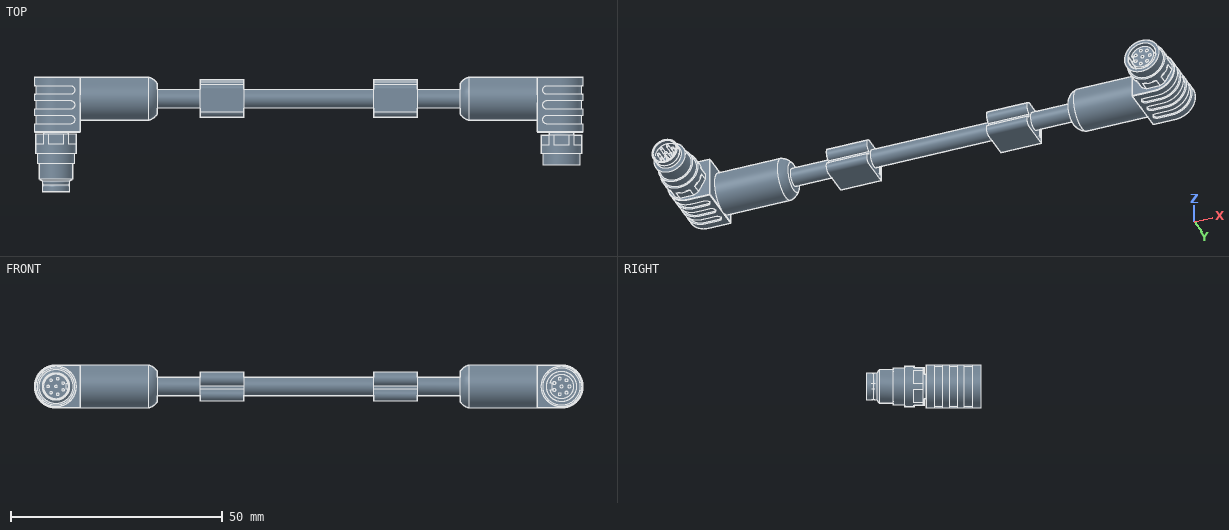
import cadquery as cq
import math

OVERALL_LENGTH = 129.9
OVERALL_DEPTH = 27.1
END = OVERALL_LENGTH / 2
BODY_DIA = 10.3
BODY_R = BODY_DIA / 2
PLUG_X = END - BODY_R

CABLE_DIA = 4.4
HOUSING_INNER_X = 54.0
BARREL_END_X = 35.9
BARREL_SHOULDER_X = 37.9
BARREL_NOSE_DIA = 7.3
NOSE_CROWN_X = 36.8
NOSE_CROWN_DIA = 9.2

HOUSING_FRONT_Y = -7.9
HOUSING_CHAMFER = 0.1
GRIP_WIDTH = 2.0
GRIP_DEPTH = 0.4
GRIP_PITCH = 3.5
GRIP_COUNT = 3
FIRST_GRIP_Y = 2.1
GRIP_END_X = 55.3

NECK_DIA = 5.8
SLEEVE_DIA = 9.6
COLLAR_DIA = 8.8
FLAT_COUNT = 6
FLAT_WIDTH = 3.5
FLAT_LENGTH = 2.3
SLEEVE_END_Y = -13.0

MALE_SLEEVE_Y = -8.3
MALE_COLLAR_END_Y = -15.3
MALE_BODY_DIA = 8.0
MALE_BODY_END_Y = -19.0
MALE_TIP_DIA = 6.5
MALE_TIP_START_Y = -19.5
MALE_END_Y = BODY_R - OVERALL_DEPTH
TIP_GROOVE_DIA = 6.2
TIP_GROOVE_Y = -20.4
TIP_GROOVE_WIDTH = 1.0
MALE_BORE_DIA = 5.8
MALE_FLOOR_Y = -16.9
PIN_DIA = 0.6
PIN_END_Y = -21.3

FEMALE_SLEEVE_Y = -8.6
FEMALE_END_Y = -15.7
FEMALE_BORE_DIA = 7.1
FEMALE_FLOOR_Y = -11.0
INSERT_DIA = 5.7
INSERT_END_Y = -15.3
SOCKET_DIA = 0.7
SOCKET_DEPTH = 3.2

CONTACT_CIRCLE_DIA = 3.8
OUTER_CONTACTS = 7

KEY_WIDTH = 1.3
KEYWAY_WIDTH = 1.5
KEY_INNER_R = 2.3
KEYWAY_INNER_R = 2.2

CLIP_CENTRE_X = 20.5
CLIP_LENGTH = 10.4
CLIP_HEIGHT = 6.9
CLIP_TOP = CLIP_HEIGHT / 2
CLIP_FRONT_Y = -4.4
CLIP_BACK_Y = 4.5
UPPER_LOBE_DIA = 3.4
LOWER_LOBE_DIA = 2.9
CORE_FRONT_Y = -3.1
CORE_BACK_Y = 3.4
CORE_CORNER_R = 1.0
LATCH_INNER_Y = 4.0
LATCH_TOP_Z = 2.2
LATCH_SLOT_FLOOR_Z = -2.1


def cylinder_y(x, z, diameter, start_y, end_y):
    """Cylinder along -Y from start_y to end_y."""
    plane = cq.Workplane("XZ", origin=(x, start_y, z))
    return plane.circle(diameter / 2).extrude(start_y - end_y)


def turned_y(x, outline):
    """Solid turned about the plug axis; outline holds (radius, y) points."""
    plane = cq.Workplane("XY", origin=(x, 0, 0))
    return plane.polyline(outline).close().revolve(360, (0, 0, 0), (0, 1, 0))


def contact_places(x, side):
    """Contact centres (x, z); one outer contact points to the outer end."""
    places = [(x, 0)]
    for i in range(OUTER_CONTACTS):
        angle = 2 * math.pi * i / OUTER_CONTACTS
        radius = CONTACT_CIRCLE_DIA / 2
        places.append((x + side * radius * math.cos(angle), radius * math.sin(angle)))
    return places


def housing_block(inner_x, radius, side):
    """Block: square towards the cable, round at the outer end."""
    axis = side * PLUG_X
    length = BODY_R - HOUSING_FRONT_Y
    return (
        cq.Workplane("XZ", origin=(0, BODY_R, 0))
        .moveTo(side * inner_x, -radius)
        .lineTo(axis, -radius)
        .threePointArc((axis + side * radius, 0), (axis, radius))
        .lineTo(side * inner_x, radius)
        .close()
        .extrude(length)
    )


def grip_grooves(side):
    """Shallow round-ended grooves wrapped around the outer end of a housing."""
    core = housing_block(0, BODY_R - GRIP_DEPTH, side)
    grooves = cq.Workplane("XY")
    for i in range(GRIP_COUNT):
        y = FIRST_GRIP_Y - i * GRIP_PITCH
        round_x = GRIP_END_X + GRIP_WIDTH / 2
        outer_x = END + GRIP_WIDTH
        band = cq.Workplane("XY").box(outer_x - round_x, GRIP_WIDTH, BODY_DIA)
        band = band.translate((side * (outer_x + round_x) / 2, y, 0))
        tip = cq.Workplane("XY").circle(GRIP_WIDTH / 2).extrude(BODY_R, both=True)
        grooves = grooves.add(band.union(tip.translate((side * round_x, y, 0))).cut(core))
    return grooves.combine()


def housing(side):
    """Elbow housing with eased edges and grip grooves."""
    barrel_face = "<X" if side > 0 else ">X"
    block = housing_block(HOUSING_INNER_X, BODY_R, side)
    block = block.faces("<Y or " + barrel_face).chamfer(HOUSING_CHAMFER)
    return block.cut(grip_grooves(side))


def barrel(side):
    """Strain relief barrel with a crowned nose, turned about the cable."""
    root_x = side * (HOUSING_INNER_X + HOUSING_CHAMFER)
    end_x = side * BARREL_END_X
    crown = (side * NOSE_CROWN_X, NOSE_CROWN_DIA / 2)
    outline = cq.Workplane("XY").moveTo(root_x, 0).lineTo(root_x, BODY_R)
    outline = outline.lineTo(side * BARREL_SHOULDER_X, BODY_R)
    outline = outline.threePointArc(crown, (end_x, BARREL_NOSE_DIA / 2))
    return outline.lineTo(end_x, 0).close().revolve(360, (0, 0, 0), (1, 0, 0))


def grip_flats(x, start_y):
    """Cutters for the flats around the back edge of a sleeve."""
    distance = math.sqrt((SLEEVE_DIA / 2) ** 2 - (FLAT_WIDTH / 2) ** 2)
    cutters = cq.Workplane("XY")
    for i in range(FLAT_COUNT):
        cutter = cq.Workplane("XY").box(SLEEVE_DIA / 2, FLAT_LENGTH, SLEEVE_DIA / 2)
        cutter = cutter.translate((0, start_y - FLAT_LENGTH / 2, distance + SLEEVE_DIA / 4))
        cutter = cutter.rotate((0, 0, 0), (0, 1, 0), i * 360 / FLAT_COUNT)
        cutters = cutters.add(cutter.translate((x, 0, 0)))
    return cutters.combine()


def key_block(x, side, width, inner_r, outer_r, start_y, end_y):
    """Radial block on the cable side of the plug axis."""
    block = cq.Workplane("XY").box(outer_r - inner_r, start_y - end_y, width)
    return block.translate((x - side * (inner_r + outer_r) / 2, (start_y + end_y) / 2, 0))


def male_plug(x, side):
    """Stepped plug with a hollow tip, contact pins and a key."""
    outline = [
        (0, HOUSING_FRONT_Y),
        (NECK_DIA / 2, HOUSING_FRONT_Y),
        (NECK_DIA / 2, MALE_SLEEVE_Y),
        (SLEEVE_DIA / 2, MALE_SLEEVE_Y),
        (SLEEVE_DIA / 2, SLEEVE_END_Y),
        (COLLAR_DIA / 2, SLEEVE_END_Y),
        (COLLAR_DIA / 2, MALE_COLLAR_END_Y),
        (MALE_BODY_DIA / 2, MALE_COLLAR_END_Y),
        (MALE_BODY_DIA / 2, MALE_BODY_END_Y),
        (MALE_TIP_DIA / 2, MALE_TIP_START_Y),
        (MALE_TIP_DIA / 2, TIP_GROOVE_Y + TIP_GROOVE_WIDTH / 2),
        (TIP_GROOVE_DIA / 2, TIP_GROOVE_Y),
        (MALE_TIP_DIA / 2, TIP_GROOVE_Y - TIP_GROOVE_WIDTH / 2),
        (MALE_TIP_DIA / 2, MALE_END_Y),
        (MALE_BORE_DIA / 2, MALE_END_Y),
        (MALE_BORE_DIA / 2, MALE_FLOOR_Y),
        (0, MALE_FLOOR_Y),
    ]
    plug = turned_y(x, outline).cut(grip_flats(x, MALE_SLEEVE_Y))
    for pin_x, pin_z in contact_places(x, side):
        plug = plug.union(cylinder_y(pin_x, pin_z, PIN_DIA, MALE_FLOOR_Y, PIN_END_Y))
    wall_r = (MALE_BORE_DIA + MALE_TIP_DIA) / 4
    key = key_block(x, side, KEY_WIDTH, KEY_INNER_R, wall_r, MALE_FLOOR_Y, PIN_END_Y)
    return plug.union(key)


def female_plug(x, side):
    """Plug with an open collar around a contact insert with sockets and a keyway."""
    outline = [
        (0, HOUSING_FRONT_Y),
        (NECK_DIA / 2, HOUSING_FRONT_Y),
        (NECK_DIA / 2, FEMALE_SLEEVE_Y),
        (SLEEVE_DIA / 2, FEMALE_SLEEVE_Y),
        (SLEEVE_DIA / 2, SLEEVE_END_Y),
        (COLLAR_DIA / 2, SLEEVE_END_Y),
        (COLLAR_DIA / 2, FEMALE_END_Y),
        (FEMALE_BORE_DIA / 2, FEMALE_END_Y),
        (FEMALE_BORE_DIA / 2, FEMALE_FLOOR_Y),
        (INSERT_DIA / 2, FEMALE_FLOOR_Y),
        (INSERT_DIA / 2, INSERT_END_Y),
        (0, INSERT_END_Y),
    ]
    plug = turned_y(x, outline).cut(grip_flats(x, FEMALE_SLEEVE_Y))
    for hole_x, hole_z in contact_places(x, side):
        hole = cylinder_y(hole_x, hole_z, SOCKET_DIA, INSERT_END_Y + SOCKET_DEPTH, INSERT_END_Y)
        plug = plug.cut(hole)
    bore_r = FEMALE_BORE_DIA / 2
    keyway = key_block(x, side, KEYWAY_WIDTH, KEYWAY_INNER_R, bore_r, FEMALE_FLOOR_Y, INSERT_END_Y)
    return plug.cut(keyway)


def clip(x):
    """Clip-on cable marker: two front lobes and a latch leaf at the back."""
    plane = cq.Workplane("YZ", origin=(x - CLIP_LENGTH / 2, 0, 0))
    upper_r = UPPER_LOBE_DIA / 2
    lower_r = LOWER_LOBE_DIA / 2
    core = plane.moveTo(CORE_FRONT_Y, 0).lineTo(CLIP_FRONT_Y + lower_r, -CLIP_TOP)
    core = core.lineTo(CLIP_BACK_Y, -CLIP_TOP).lineTo(CLIP_BACK_Y, LATCH_TOP_Z)
    core = core.lineTo(LATCH_INNER_Y, LATCH_TOP_Z).lineTo(LATCH_INNER_Y, LATCH_SLOT_FLOOR_Z)
    core = core.lineTo(CORE_BACK_Y, LATCH_SLOT_FLOOR_Z)
    core = core.lineTo(CORE_BACK_Y, CLIP_TOP - CORE_CORNER_R)
    core = core.radiusArc((CORE_BACK_Y - CORE_CORNER_R, CLIP_TOP), -CORE_CORNER_R)
    body = core.lineTo(CORE_FRONT_Y, CLIP_TOP).close().extrude(CLIP_LENGTH)
    for radius, z in ((upper_r, CLIP_TOP - upper_r), (lower_r, lower_r - CLIP_TOP)):
        lobe = plane.center(CLIP_FRONT_Y + radius, z).circle(radius).extrude(CLIP_LENGTH)
        body = body.union(lobe)
    return body


def cable():
    """Round cable running between the two housings."""
    plane = cq.Workplane("YZ", origin=(-HOUSING_INNER_X, 0, 0))
    return plane.circle(CABLE_DIA / 2).extrude(2 * HOUSING_INNER_X)


result = cable()
for side in (-1, 1):
    result = result.union(barrel(side)).union(housing(side)).union(clip(side * CLIP_CENTRE_X))
result = result.union(male_plug(-PLUG_X, -1)).union(female_plug(PLUG_X, 1))